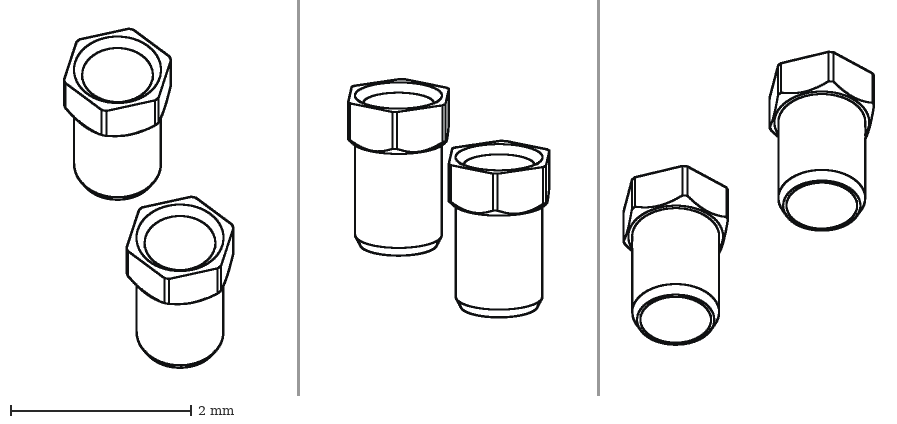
import cadquery as cq
import math

PITCH = 2.538

HEAD_FLATS = 1.082
HEAD_CORNERS = 1.22
HEAD_HEIGHT = 0.515
HEAD_CHAMFER = 0.085
FLAT_TURN = 30

TOTAL_HEIGHT = 1.73
SHANK_DIAMETER = 0.965
SHANK_TIP_DIAMETER = 0.858
SHANK_TIP_HEIGHT = 0.11

BORE_DIAMETER = 0.785
COUNTERSINK_DIAMETER = SHANK_DIAMETER
COUNTERSINK_DEPTH = (COUNTERSINK_DIAMETER - BORE_DIAMETER) / 2

HEAD_BOTTOM = TOTAL_HEIGHT - HEAD_HEIGHT


def make_head():
    """Hexagon with flats facing +/-X, turned corners and a chamfered underside."""
    sharp_corners = HEAD_FLATS / math.cos(math.pi / 6)
    hexagon = (
        cq.Workplane("XY", origin=(0, 0, HEAD_BOTTOM))
        .polygon(6, sharp_corners)
        .extrude(HEAD_HEIGHT)
        .rotate((0, 0, 0), (0, 0, 1), FLAT_TURN)
    )
    turned_blank = (
        cq.Workplane("XY", origin=(0, 0, HEAD_BOTTOM))
        .circle(HEAD_CORNERS / 2)
        .extrude(HEAD_HEIGHT)
        .faces("<Z")
        .chamfer(HEAD_CHAMFER)
    )
    return hexagon.intersect(turned_blank)


def make_shank():
    """Cylinder with a tapered lower tip."""
    profile = (
        cq.Workplane("XZ")
        .lineTo(SHANK_TIP_DIAMETER / 2, 0)
        .lineTo(SHANK_DIAMETER / 2, SHANK_TIP_HEIGHT)
        .lineTo(SHANK_DIAMETER / 2, HEAD_BOTTOM)
        .lineTo(0, HEAD_BOTTOM)
        .close()
    )
    return profile.revolve(360, (0, 0, 0), (0, 1, 0))


def make_bore():
    """Cutting tool for the through bore and its countersink."""
    profile = (
        cq.Workplane("XZ")
        .lineTo(BORE_DIAMETER / 2, 0)
        .lineTo(BORE_DIAMETER / 2, TOTAL_HEIGHT - COUNTERSINK_DEPTH)
        .lineTo(COUNTERSINK_DIAMETER / 2, TOTAL_HEIGHT)
        .lineTo(0, TOTAL_HEIGHT)
        .close()
    )
    return profile.revolve(360, (0, 0, 0), (0, 1, 0))


def make_sleeve(x):
    """Complete hex-headed sleeve with its axis at the given X position."""
    sleeve = make_head().union(make_shank()).cut(make_bore())
    return sleeve.translate((x, 0, 0))


sleeves = [make_sleeve(x).val() for x in (-PITCH / 2, PITCH / 2)]

result = cq.Compound.makeCompound(sleeves)